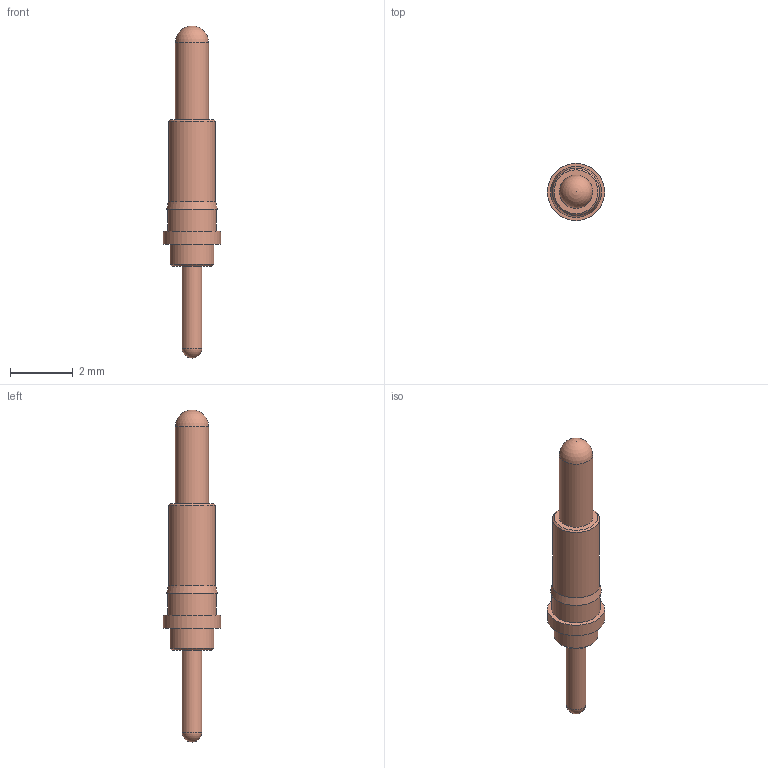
import cadquery as cq
import math

plunger_dia = 1.06
barrel_dia = 1.5
barb_dia = 1.62
seat_dia = 1.55
flange_dia = 1.83
base_dia = 1.4
tail_dia = 0.635

total_length = 10.59
tail_length = 2.93
base_length = 0.7
flange_thickness = 0.41
seat_length = 0.70
barb_length = 0.25
barrel_length = 2.61

barrel_chamfer = 0.05
base_chamfer = 0.065

plunger_radius = plunger_dia / 2
barrel_radius = barrel_dia / 2
barb_radius = barb_dia / 2
seat_radius = seat_dia / 2
flange_radius = flange_dia / 2
base_radius = base_dia / 2
tail_radius = tail_dia / 2

base_bottom = tail_length
flange_bottom = base_bottom + base_length
flange_top = flange_bottom + flange_thickness
barb_bottom = flange_top + seat_length
barb_top = barb_bottom + barb_length
barrel_top = barb_top + barrel_length
plunger_dome_start = total_length - plunger_radius

diagonal = math.sqrt(0.5)


def half_profile():
    """Closed half section in the XZ plane, from the tail tip up to the plunger tip."""
    return (
        cq.Workplane("XZ")
        .moveTo(0, 0)
        .threePointArc(
            (tail_radius * diagonal, tail_radius * (1 - diagonal)),
            (tail_radius, tail_radius),
        )
        .lineTo(tail_radius, base_bottom)
        .lineTo(base_radius - base_chamfer, base_bottom)
        .lineTo(base_radius, base_bottom + base_chamfer)
        .lineTo(base_radius, flange_bottom)
        .lineTo(flange_radius, flange_bottom)
        .lineTo(flange_radius, flange_top)
        .lineTo(seat_radius, flange_top)
        .lineTo(seat_radius, barb_bottom)
        .lineTo(barb_radius, barb_bottom)
        .lineTo(barrel_radius, barb_top)
        .lineTo(barrel_radius, barrel_top - barrel_chamfer)
        .lineTo(barrel_radius - barrel_chamfer, barrel_top)
        .lineTo(plunger_radius, barrel_top)
        .lineTo(plunger_radius, plunger_dome_start)
        .threePointArc(
            (plunger_radius * diagonal, plunger_dome_start + plunger_radius * diagonal),
            (0, total_length),
        )
        .close()
    )


full_turn = 360
axis_start = (0, 0)
axis_end = (0, total_length)

result = half_profile().revolve(full_turn, axis_start, axis_end)